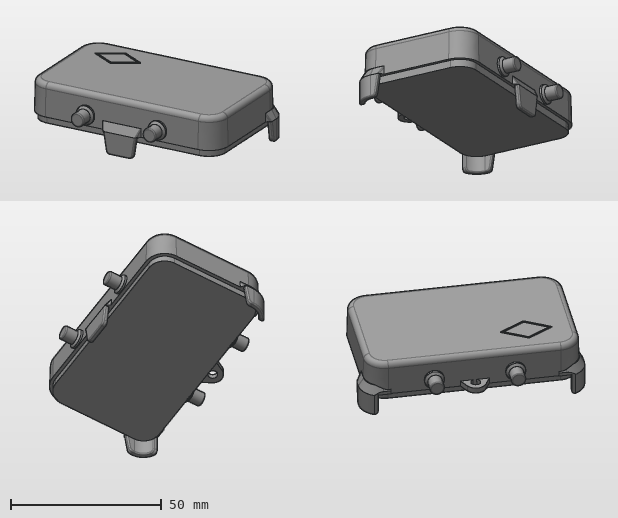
import cadquery as cq
import math

body_length = 73.05
body_width = 42.9
body_corner_radius = 7.3
body_top = 14.5
body_draft = 1.5
top_fillet = 2.0
rim_inset = 1.15
rim_height = 2.6
root_overlap = 1.9

pin_x = 13.75
pin_z = 6.5
pin_radius = 2.45
pin_tip_y = 27.2
pin_tip_fillet = 0.4
collar_radius = 3.35
collar_flat_y = 22.1
collar_end_y = 22.8

skirt_half_length = 38.2
skirt_front = -23.15
skirt_back = 22.4
skirt_corner_radius = 7.25
skirt_thickness = 1.75
flap_bottom = -5.3
wedge_rise = 3.05
flap_edge_fillet = 0.45
flap_corner_radius = 1.5
flap_side_slope = 0.16
wedge_flare = 1.2

front_flap_half_width = 6.2
corner_flap_end_y = 12.1
corner_flap_end_x = 32.7
corner_wedge_end_x = 28.4
corner_flap_back = 21.7

eyelet_y = 22.9
eyelet_radius = 3.6
eyelet_hole_radius = 1.6
eyelet_root_half_width = 4.9
eyelet_thickness = 2.0

frame_center = (-19.5, 10.0)
frame_length = 17.4
frame_width = 10.1
frame_line = 0.45
frame_height = 0.2

body_half_width = body_width / 2
wedge_taper = math.degrees(math.atan2(skirt_thickness, wedge_rise))


def rounded_slab(length, width, radius, z, height, taper=0):
    """Slab centred on the Z axis with rounded upright corners."""
    outline = cq.Sketch().rect(length, width).vertices().fillet(radius)
    return cq.Workplane("XY").workplane(offset=z).placeSketch(outline).extrude(height, taper=taper)


def prism(points, z, height):
    """Upright prism over a plan outline."""
    return cq.Workplane("XY").workplane(offset=z).polyline(points).close().extrude(height)


def make_body():
    shell = rounded_slab(
        body_length, body_width, body_corner_radius, rim_height, body_top - rim_height, body_draft
    )
    shell = shell.faces(">Z").edges().fillet(top_fillet)
    rim = rounded_slab(
        body_length - 2 * rim_inset,
        body_width - 2 * rim_inset,
        body_corner_radius - rim_inset,
        0,
        rim_height,
    )
    return shell.union(rim)


def make_pin(x, side):
    """Pin with a conical collar, pointing to +Y (side = 1) or -Y (side = -1)."""
    root_y = body_half_width - root_overlap
    profile = [
        (0, root_y),
        (collar_radius, root_y),
        (collar_radius, collar_flat_y),
        (pin_radius, collar_end_y),
        (pin_radius, pin_tip_y),
        (0, pin_tip_y),
    ]
    pin = cq.Workplane("XY").polyline(profile).close().revolve(360, (0, 0), (0, 1))
    pin = pin.faces(">Y").edges().fillet(pin_tip_fillet)
    if side < 0:
        pin = pin.mirror("XZ")
    return pin.translate((x, 0, pin_z))


def make_skirt():
    """Hanging wall all round, and the solid with sloping sides that joins it to the body."""
    length = 2 * skirt_half_length
    width = skirt_back - skirt_front
    depth = rim_height - flap_bottom
    center = (0, (skirt_back + skirt_front) / 2, 0)
    outer = rounded_slab(length, width, skirt_corner_radius, flap_bottom, depth)
    inner = rounded_slab(
        length - 2 * skirt_thickness,
        width - 2 * skirt_thickness,
        skirt_corner_radius - skirt_thickness,
        flap_bottom,
        depth,
    )
    slope = rounded_slab(length, width, skirt_corner_radius, rim_height, wedge_rise, wedge_taper)
    return outer.cut(inner).translate(center), slope.translate(center)


def make_front_flap(wall, slope):
    depth = rim_height - flap_bottom
    tip_half_width = front_flap_half_width - flap_side_slope * depth
    plate = (
        cq.Workplane("XZ")
        .polyline(
            [
                (-front_flap_half_width, rim_height),
                (-tip_half_width, flap_bottom),
                (tip_half_width, flap_bottom),
                (front_flap_half_width, rim_height),
            ]
        )
        .close()
        .extrude(-2 * skirt_front)
        .edges("|Y and <Z")
        .fillet(flap_corner_radius)
    )
    plate = wall.intersect(plate)
    plate = plate.faces(">X").edges("not |Y").fillet(flap_edge_fillet)
    buried_y = skirt_front + 2 * skirt_thickness
    buried_half_width = front_flap_half_width + 2 * wedge_flare
    footprint = [
        (-buried_half_width, buried_y),
        (-front_flap_half_width, skirt_front),
        (front_flap_half_width, skirt_front),
        (buried_half_width, buried_y),
    ]
    wedge = slope.intersect(prism(footprint, rim_height, wedge_rise))
    wedge = wedge.faces("<Y").edges("not |X").fillet(flap_edge_fillet)
    return plate.union(wedge)


def make_corner_flap(wall, slope):
    """Flap wrapping the back corner on the -X side."""
    depth = rim_height - flap_bottom
    run = flap_side_slope * depth
    side_outline = [
        (corner_flap_end_y, rim_height),
        (corner_flap_end_y + run, flap_bottom),
        (skirt_back, flap_bottom),
        (skirt_back, rim_height),
    ]
    side_plate = (
        cq.Workplane("YZ")
        .polyline(side_outline)
        .close()
        .extrude(-2 * skirt_half_length)
        .edges("|X")
        .edges("<Z")
        .edges("<Y")
        .fillet(flap_corner_radius)
    )
    back_outline = [
        (-2 * skirt_half_length, rim_height),
        (-2 * skirt_half_length, flap_bottom),
        (-corner_flap_end_x, flap_bottom),
        (-corner_flap_end_x, rim_height),
    ]
    back_plate = (
        cq.Workplane("XZ")
        .polyline(back_outline)
        .close()
        .extrude(-2 * skirt_half_length)
        .edges("|Y")
        .edges("<Z")
        .edges(">X")
        .fillet(flap_corner_radius)
    )
    plate = wall.intersect(side_plate).intersect(back_plate)
    plate = plate.faces("<Y").edges("not |X").fillet(flap_edge_fillet)
    buried_x = -skirt_half_length + 2 * skirt_thickness
    buried_y = corner_flap_end_y - 2 * wedge_flare
    footprint = [
        (-corner_wedge_end_x, corner_flap_end_y),
        (buried_x, buried_y),
        (-skirt_half_length, corner_flap_end_y),
        (-skirt_half_length, skirt_back),
        (-corner_wedge_end_x, skirt_back),
    ]
    wedge = slope.intersect(prism(footprint, rim_height, wedge_rise))
    wedge = wedge.faces("<Y").edges("<X").fillet(flap_edge_fillet)
    trim = cq.Workplane("XY").box(4 * skirt_half_length, 2 * corner_flap_back, 2 * body_top)
    return plate.union(wedge).intersect(trim)


def make_eyelet():
    """Ear whose straight sides run tangent into its round end."""
    root_y = body_half_width
    reach = math.hypot(eyelet_root_half_width, eyelet_y - root_y)
    angle = math.atan2(root_y - eyelet_y, eyelet_root_half_width) + math.acos(eyelet_radius / reach)
    tangent_x = eyelet_radius * math.cos(angle)
    tangent_y = eyelet_y + eyelet_radius * math.sin(angle)
    buried_y = root_y - root_overlap
    return (
        cq.Workplane("XY")
        .workplane(offset=rim_height)
        .moveTo(-eyelet_root_half_width, buried_y)
        .lineTo(-eyelet_root_half_width, root_y)
        .lineTo(-tangent_x, tangent_y)
        .threePointArc((0, eyelet_y + eyelet_radius), (tangent_x, tangent_y))
        .lineTo(eyelet_root_half_width, root_y)
        .lineTo(eyelet_root_half_width, buried_y)
        .close()
        .extrude(eyelet_thickness)
        .cut(
            cq.Workplane("XY")
            .workplane(offset=rim_height)
            .center(0, eyelet_y)
            .circle(eyelet_hole_radius)
            .extrude(eyelet_thickness)
        )
    )


def diamond(length, width):
    """Thin diamond plate standing on the top face, centred on the Z axis."""
    corners = [(-length / 2, 0), (0, -width / 2), (length / 2, 0), (0, width / 2)]
    return prism(corners, body_top, frame_height)


def make_frame():
    inscribed_diameter = frame_length * frame_width / math.hypot(frame_length, frame_width)
    window_scale = 1 - 2 * frame_line / inscribed_diameter
    outer = diamond(frame_length, frame_width)
    window = diamond(frame_length * window_scale, frame_width * window_scale)
    return outer.cut(window).translate(frame_center)


wall, slope = make_skirt()
corner_flap = make_corner_flap(wall, slope)

result = make_body()
result = result.union(make_front_flap(wall, slope))
result = result.union(corner_flap)
result = result.union(corner_flap.mirror("YZ"))
result = result.union(make_eyelet())
result = result.union(make_frame())
for x in (-pin_x, pin_x):
    for side in (-1, 1):
        result = result.union(make_pin(x, side))